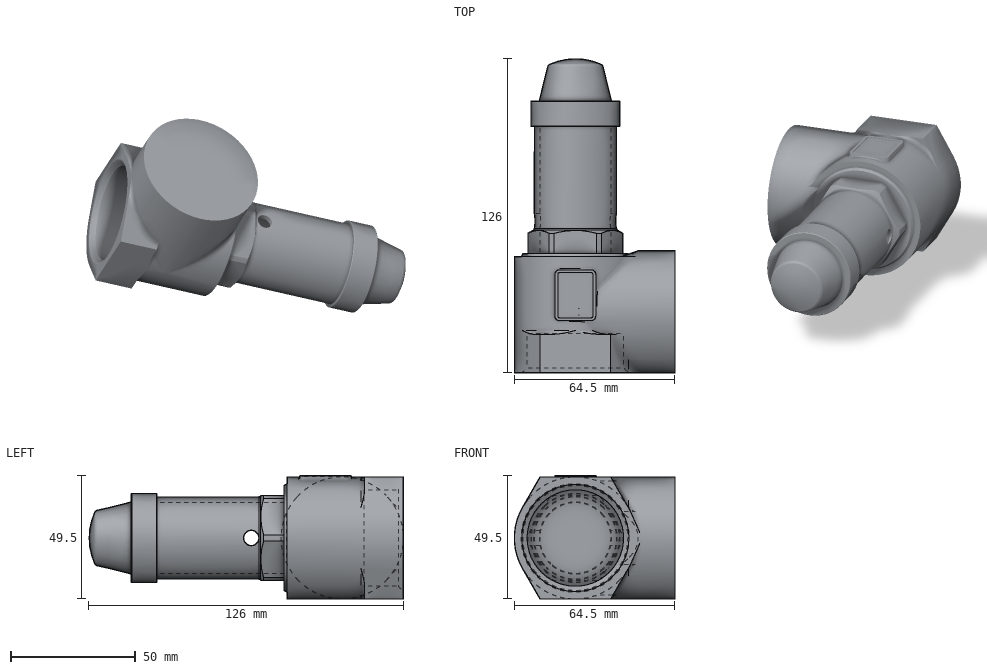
import cadquery as cq
import math

overall_length = 126.0
overall_width = 64.5
overall_height = 49.5

body_diameter = 49.0
shoulder_height = 46.6
branch_fillet = 2.0
web_start = 1.3

hex_length = 15.5
hex_fillet = 1.5

seat_height = 1.3
seat_base_radius = 21.8
seat_top_radius = 21.0
relief_angle = 30.0

bore_diameter = 38.7
bore_depth = 15.8
bore_mouth_diameter = 43.0
bore_mouth_depth = 2.0

pad_width = 16.4
pad_length = 20.4
pad_center_y = 6.7
pad_corner_radius = 1.9
pad_draft = 10.0
pad_height = 2.4
pad_rim = 1.1
pad_pocket_depth = 0.4
pad_root_fillet = 0.4

nut_phase = 30.0
nut_flats = 34.1
nut_corners = 38.2
nut_edge_height = 9.5
nut_chamfer_angle = 30.0
tube_radius = 16.5
tube_foot_radius = 16.8
tube_foot_height = 0.6
tube_bore_radius = 14.2
tube_top_height = 98.8
vent_diameter = 6.0
vent_height = 61.0

collar_radius = 17.9
collar_height = 10.3
collar_chamfer = 0.3
cap_base_radius = 14.5
cap_corner_radius = 11.0
cap_dome_rise = 2.5
cap_fillet = 1.5

body_radius = body_diameter / 2
inlet_face = -body_radius
outlet_face = overall_width - body_radius
pad_top = overall_height - body_radius
shoulder_y = inlet_face + shoulder_height
seat_y = shoulder_y + seat_height
vent_y = inlet_face + vent_height
tube_top_y = inlet_face + tube_top_height
collar_top_y = tube_top_y + collar_height
tip_y = inlet_face + overall_length


def tan_deg(angle):
    return math.tan(math.radians(angle))


def y_cylinder(radius, start, end):
    """Cylinder around the Y axis from y = start to y = end."""
    return cq.Workplane("XZ", origin=(0, start, 0)).circle(radius).extrude(start - end)


def turned(profile):
    """Solid of revolution around Y from an open (radius, y) profile."""
    return profile.close().revolve(360, (0, 0, 0), (0, 1, 0))


def hex_block():
    """Inlet hexagon, cut back to its tangent points on the left and right of the body."""
    corner_x = body_radius * tan_deg(30)
    tangent_x = body_radius * math.cos(math.radians(30))
    tangent_z = body_radius / 2
    hex_end = inlet_face + hex_length
    fillet_end = hex_end + hex_fillet
    quarter = [(corner_x, body_radius), (tangent_x, tangent_z)]
    right_side = quarter + [(x, -z) for x, z in reversed(quarter)]
    outline = right_side + [(-x, z) for x, z in reversed(right_side)]
    prism = (
        cq.Workplane("XZ", origin=(0, inlet_face, 0))
        .polyline(outline).close().extrude(inlet_face - fillet_end)
    )
    envelope = turned(
        cq.Workplane("XY").moveTo(0, inlet_face)
        .lineTo(body_diameter, inlet_face)
        .lineTo(body_diameter, hex_end)
        .lineTo(body_radius + hex_fillet, hex_end)
        .radiusArc((body_radius, fillet_end), hex_fillet)
        .lineTo(0, fillet_end)
    )
    return prism.intersect(envelope)


def outlet():
    return cq.Workplane("YZ").circle(body_radius).extrude(outlet_face)


def hex_with_outlet():
    """Inlet hexagon and outlet branch, with fillets between the slanted flats and the branch."""
    return hex_block().union(outlet()).edges("%ELLIPSE").fillet(branch_fillet)


def branch_web(side, end_y):
    """Fillet between the crossing cylinders, on the +Y (1) or -Y (-1) side, ending at end_y.

    A ball rolling on both cylinders has its centre on an ellipse. The web fills the corner
    inside that ellipse and is hollowed by the pipe that the ball sweeps. It starts a little
    away from the pole, where the cylinders run into each other smoothly and the web vanishes.
    """
    reach = body_radius + branch_fillet
    along_y = cq.Workplane("XZ").ellipse(reach, body_radius).extrude(-side * abs(end_y))
    along_x = cq.Workplane("YZ").ellipse(reach, body_radius).extrude(reach)
    diagonal = cq.Plane(origin=(0, 0, 0), xDir=(1, side, 0), normal=(1, -side, 0))
    path = cq.Workplane(diagonal).ellipse(reach * math.sqrt(2), reach)
    start = cq.Plane(origin=(reach, side * reach, 0), xDir=(1, side, 0), normal=(0, 0, 1))
    pipe = cq.Workplane(start).circle(branch_fillet).sweep(path)
    depth = abs(end_y) - web_start
    stretch = (
        cq.Workplane("XY", origin=(0, side * (web_start + depth / 2), 0))
        .box(2 * body_diameter, depth, 2 * body_diameter)
    )
    return along_y.intersect(along_x).cut(pipe).intersect(stretch)


def seat():
    """Tapered ring on the shoulder that carries the bonnet."""
    return turned(
        cq.Workplane("XY").moveTo(0, shoulder_y)
        .lineTo(seat_base_radius, shoulder_y)
        .lineTo(seat_top_radius, seat_y)
        .lineTo(0, seat_y)
    )


def shoulder_relief():
    """Conical clearance above the shoulder that trims the top of the outlet branch."""
    outer_radius = outlet_face
    rise = (outer_radius - seat_top_radius) * tan_deg(relief_angle)
    return turned(
        cq.Workplane("XY").moveTo(0, shoulder_y)
        .lineTo(seat_top_radius, shoulder_y)
        .lineTo(outer_radius, shoulder_y + rise)
        .lineTo(0, shoulder_y + rise)
    )


def inlet_bore():
    bore_radius = bore_diameter / 2
    return turned(
        cq.Workplane("XY").moveTo(0, inlet_face)
        .lineTo(bore_mouth_diameter / 2, inlet_face)
        .lineTo(bore_radius, inlet_face + bore_mouth_depth)
        .lineTo(bore_radius, inlet_face + bore_depth)
        .lineTo(0, inlet_face + bore_depth)
    )


def pad():
    """Drafted label pad on top of the body, with a shallow pocket inside its rim."""
    spread = pad_height * tan_deg(pad_draft)
    block = (
        cq.Workplane("XY", origin=(0, pad_center_y, pad_top - pad_height))
        .sketch().rect(pad_width + 2 * spread, pad_length + 2 * spread)
        .vertices().fillet(pad_corner_radius + spread).finalize()
        .extrude(pad_height, taper=pad_draft)
    )
    pocket = (
        cq.Workplane("XY", origin=(0, pad_center_y, pad_top - pad_pocket_depth))
        .sketch().rect(pad_width - 2 * pad_rim, pad_length - 2 * pad_rim)
        .vertices().fillet(pad_corner_radius - pad_rim).finalize()
        .extrude(pad_pocket_depth)
    )
    return block.cut(pocket)


def pad_root(shape):
    """Select the edges of the shape where the pad meets the body."""
    margin = pad_height * tan_deg(pad_draft) + pad_root_fillet
    half_width = pad_width / 2 + margin
    half_length = pad_length / 2 + margin
    region = cq.selectors.BoxSelector(
        (-half_width, pad_center_y - half_length, pad_top - pad_height),
        (half_width, pad_center_y + half_length, pad_top - pad_pocket_depth),
        boundingbox=True,
    )
    return shape.edges(region)


def make_housing():
    relief = shoulder_relief()
    tee = (
        y_cylinder(body_radius, inlet_face, shoulder_y)
        .union(outlet().cut(relief))
        .union(branch_web(1, shoulder_y))
        .union(branch_web(-1, inlet_face))
    )
    casting = hex_with_outlet().cut(relief).union(tee).union(pad())
    casting = pad_root(casting).fillet(pad_root_fillet)
    return casting.union(seat()).cut(inlet_bore())


def nut():
    """Hexagon with turned corners and a conical top that runs into the tube foot."""
    corner_radius = nut_corners / 2
    edge_y = seat_y + nut_edge_height - (corner_radius - tube_foot_radius) * tan_deg(nut_chamfer_angle)
    top_y = seat_y + nut_edge_height
    turned_blank = turned(
        cq.Workplane("XY").moveTo(0, seat_y)
        .lineTo(corner_radius, seat_y)
        .lineTo(corner_radius, edge_y)
        .lineTo(tube_foot_radius, top_y)
        .lineTo(tube_radius, top_y + tube_foot_height)
        .lineTo(0, top_y + tube_foot_height)
    )
    hexagon = (
        cq.Workplane("XZ", origin=(0, seat_y, 0))
        .transformed(rotate=(0, 0, nut_phase)).polygon(6, nut_flats, circumscribed=True)
        .extrude(-nut_edge_height - tube_foot_height)
    )
    return turned_blank.intersect(hexagon)


def make_bonnet():
    tube = y_cylinder(tube_radius, seat_y, tube_top_y)
    spring_bore = y_cylinder(tube_bore_radius, seat_y, tube_top_y)
    vent = (
        cq.Workplane("YZ", origin=(0, vent_y, 0))
        .circle(vent_diameter / 2).extrude(tube_radius + 1.3, both=True)
    )
    return nut().union(tube).cut(spring_bore).cut(vent)


def make_collar():
    return y_cylinder(collar_radius, tube_top_y, collar_top_y).faces("<Y or >Y").chamfer(collar_chamfer)


def make_cap():
    """Tapered cap with a domed end and a rounded edge around the dome."""
    corner_y = tip_y - cap_dome_rise
    dome_radius = (cap_corner_radius ** 2 + cap_dome_rise ** 2) / (2 * cap_dome_rise)
    blank = turned(
        cq.Workplane("XY").moveTo(0, collar_top_y)
        .lineTo(cap_base_radius, collar_top_y)
        .lineTo(cap_corner_radius, corner_y)
        .radiusArc((0, tip_y), -dome_radius)
    )
    dome_edge = cq.selectors.BoxSelector(
        (-body_radius, corner_y - 0.1, -body_radius), (body_radius, corner_y + 0.1, body_radius)
    )
    return blank.edges(dome_edge).fillet(cap_fillet)


housing = make_housing()
bonnet = make_bonnet()
collar = make_collar()
cap = make_cap()

result = cq.Compound.makeCompound([part.solids().val() for part in (housing, bonnet, collar, cap)])